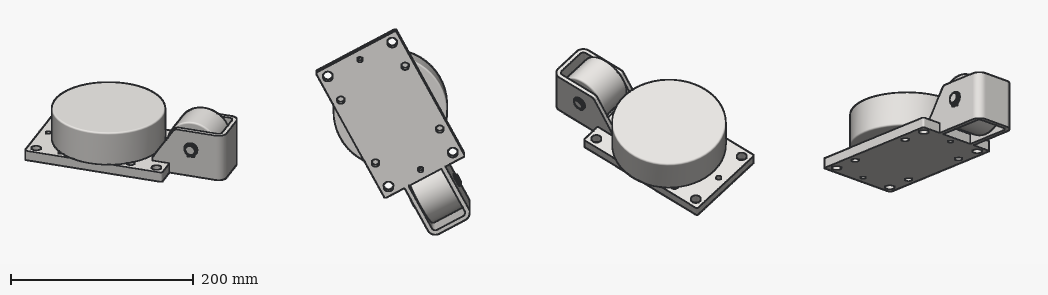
import cadquery as cq

overall_length = 223.0
overall_height = 63.0

plate_length = 160.0
plate_width = 100.0
plate_thickness = 11.5
plate_corner_radius = 2.0

mount_hole_diameter = 11.0
mount_hole_span_x = 140.0
mount_hole_span_y = 80.0
centre_hole_diameter = 6.0
inner_hole_diameter = 8.5
inner_hole_span = 80.0

wheel_diameter = 124.9
wheel_width = 39.7
wheel_edge_radius = 2.0
hub_diameter = 65.0
hub_height = 3.3
hub_waist_depth = 0.5

bracket_left = 60.0
bracket_right = overall_length - plate_length / 2
bracket_width = 51.0
bracket_wall = 5.1
bracket_bend_radius = 9.4
bracket_height = plate_thickness + hub_height + wheel_width
slope_start_z = 15.8
slope_end_x = 85.9
slope_top_radius = 5.5
slope_bottom_radius = 10.0

roller_diameter = 60.0
roller_width = 40.1
axle_x = 105.0
axle_z = overall_height - roller_diameter / 2
axle_diameter = 12.0
axle_length = 57.8
axle_end_diameter = 11.0
axle_chamfer = (axle_diameter - axle_end_diameter) / 2

ring_outer_diameter = 15.2
ring_thickness = 1.1
ring_gap = 1.0
lug_radius = 1.8
lug_hole_diameter = 1.7
lug_offset_x = 2.5
lug_offset_z = 7.4


def make_plate():
    """Rounded rectangular plate with corner, inner and centre-line through holes."""
    plate = cq.Workplane("XY").box(plate_length, plate_width, plate_thickness, centered=(True, True, False))
    plate = plate.edges("|Z").fillet(plate_corner_radius)
    hole_sets = (
        (mount_hole_diameter, mount_hole_span_x, mount_hole_span_y, 2),
        (inner_hole_diameter, inner_hole_span, inner_hole_span, 2),
        (centre_hole_diameter, mount_hole_span_x, plate_width, 1),
    )
    for diameter, span_x, span_y, rows in hole_sets:
        top = plate.faces(">Z").workplane(origin=(0, 0, plate_thickness))
        plate = top.rarray(span_x, span_y, 2, rows).hole(diameter)
    return plate


def make_rounded_disc(plane, diameter, width):
    disc = cq.Workplane(plane).circle(diameter / 2).extrude(width)
    return disc.edges().fillet(wheel_edge_radius)


def make_wheel():
    wheel_bottom = plate_thickness + hub_height
    plane = cq.Plane(origin=(0, 0, wheel_bottom), xDir=(1, 0, 0), normal=(0, 0, 1))
    return make_rounded_disc(plane, wheel_diameter, wheel_width)


def make_hub():
    """Short hub whose side is slightly hollowed between plate and wheel."""
    radius = hub_diameter / 2
    waist = (radius - hub_waist_depth, plate_thickness + hub_height / 2)
    wheel_bottom = plate_thickness + hub_height
    profile = (
        cq.Workplane("XZ")
        .moveTo(0, plate_thickness)
        .lineTo(radius, plate_thickness)
        .threePointArc(waist, (radius, wheel_bottom))
        .lineTo(0, wheel_bottom)
        .close()
    )
    return profile.revolve(360, (0, 0), (0, 1))


def make_bracket():
    """Bent strip, open toward the wheel, with sloping front edges."""
    length = bracket_right - bracket_left
    inner_length = length - bracket_wall
    inner_width = bracket_width - 2 * bracket_wall
    outer = (
        cq.Workplane("XY")
        .box(length, bracket_width, bracket_height, centered=(False, True, False))
        .edges("|Z and >X")
        .fillet(bracket_bend_radius)
    )
    inner = (
        cq.Workplane("XY")
        .box(inner_length, inner_width, bracket_height, centered=(False, True, False))
        .edges("|Z and >X")
        .fillet(bracket_bend_radius - bracket_wall)
    )
    strip = outer.cut(inner).translate((bracket_left, 0, 0))
    side = (
        cq.Workplane("XZ")
        .moveTo(bracket_left, 0)
        .lineTo(bracket_right, 0)
        .lineTo(bracket_right, bracket_height)
        .lineTo(slope_end_x, bracket_height)
        .lineTo(bracket_left, slope_start_z)
        .close()
        .extrude(bracket_width / 2, both=True)
    )
    slope_top = cq.selectors.NearestToPointSelector((slope_end_x, 0, bracket_height))
    side = side.edges("|Y").edges(slope_top).fillet(slope_top_radius)
    slope_bottom = cq.selectors.NearestToPointSelector((bracket_left, 0, slope_start_z))
    side = side.edges("|Y").edges(slope_bottom).fillet(slope_bottom_radius)
    return strip.intersect(side)


def axle_plane(y):
    """Plane facing -Y, centred on the axle."""
    return cq.Plane(origin=(axle_x, y, axle_z), xDir=(1, 0, 0), normal=(0, -1, 0))


def make_roller():
    return make_rounded_disc(axle_plane(roller_width / 2), roller_diameter, roller_width)


def make_axle():
    axle = cq.Workplane(axle_plane(axle_length / 2)).circle(axle_diameter / 2).extrude(axle_length)
    return axle.edges().chamfer(axle_chamfer)


def make_ring(y):
    """Retaining ring lying from y to y minus its thickness."""
    base = cq.Workplane(axle_plane(y))
    lugs = [(side * lug_offset_x, -lug_offset_z) for side in (-1, 1)]
    ring = base.circle(ring_outer_diameter / 2).extrude(ring_thickness)
    ring = ring.union(base.pushPoints(lugs).circle(lug_radius).extrude(ring_thickness))
    ring = ring.cut(base.pushPoints(lugs).circle(lug_hole_diameter / 2).extrude(ring_thickness))
    gap_length = ring_outer_diameter
    gap = base.center(0, -gap_length / 2).rect(ring_gap, gap_length).extrude(ring_thickness)
    return ring.cut(gap)


result = make_plate()
for body in (make_hub(), make_wheel(), make_bracket(), make_roller(), make_axle()):
    result = result.union(body)
for ring_y in (-bracket_width / 2, bracket_width / 2 + ring_thickness):
    result = result.union(make_ring(ring_y))